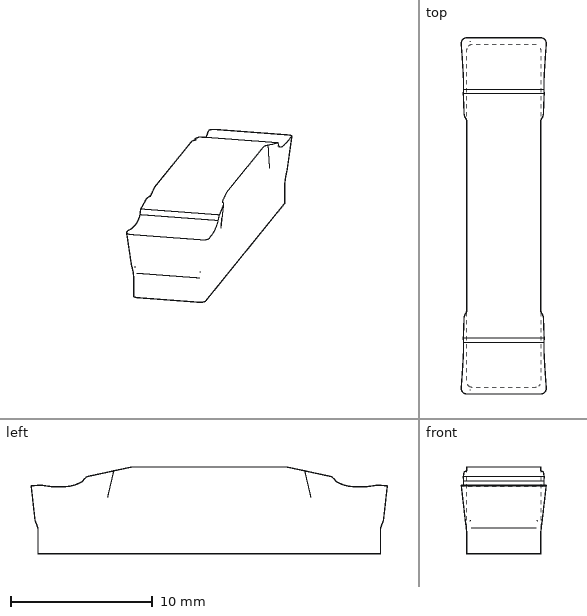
import cadquery as cq

LENGTH = 25.15
HEIGHT = 6.13
BODY_WIDTH = 5.23
HALF_LENGTH = LENGTH / 2
HALF_BODY = BODY_WIDTH / 2
OVERSIZE = 15.08

EDGE_Z = 4.8
RELIEF_INSET = 0.28
RELIEF_Z = 2.35
SHANK_INSET = 0.48
SHANK_Z = 1.8
BLEND_INSET = 0.4
BLEND_Z = 2.04
CORNER_RADIUS = 0.4

LAND_START = (0.6, 4.85)
LAND_END = (0.75, 4.85)
GROOVE_SHOULDER = (1.05, 4.8)
GROOVE_START = (1.43, 4.75)
GROOVE_END = (2.46, 4.75)
GROOVE_MIDDLE = (3.12, 4.88)
RISE_START = (3.65, 5.13)
RISE_END = (3.75, 5.28)
CREST = (3.95, 5.45)
TOP_INSET = 7.1

FLANK_LOW = (0.95, 1.5)
FLANK_HIGH = (5.4, 4.0)
FLARE_ALLOWANCE = 1.25
FLARE_SLOPE = 0.108

STEP_BODY_TOP = (5.83, 5.85)
STEP_RIDGE_TOP = (5.6, 5.8)
STEP_FLANK_TOP = (5.4, 5.75)
RIDGE_FLARE_SHARE = 0.7


def on_profile(point):
    """Turn (inset, height) into (Y, Z) at the -Y end."""
    inset, height = point
    return (inset - HALF_LENGTH, height)


def on_side(point, outward=0.0):
    """Place (inset, height) on the body side, shifted outward in X."""
    y, z = on_profile(point)
    return cq.Vector(HALF_BODY + outward, y, z)


def flare_at(point):
    """Outward distance of the flank plane from the body side."""
    inset, height = point
    line_slope = (FLANK_HIGH[1] - FLANK_LOW[1]) / (FLANK_HIGH[0] - FLANK_LOW[0])
    line_height = FLANK_LOW[1] + line_slope * (inset - FLANK_LOW[0])
    return FLARE_SLOPE * (height - line_height)


def profile_block(width):
    """Extrude the side outline of one end from the mid plane towards +X."""
    return (
        cq.Workplane("YZ")
        .moveTo(0, 0)
        .lineTo(*on_profile((SHANK_INSET, 0)))
        .lineTo(*on_profile((SHANK_INSET, SHANK_Z)))
        .threePointArc(on_profile((BLEND_INSET, BLEND_Z)), on_profile((RELIEF_INSET, RELIEF_Z)))
        .lineTo(*on_profile((0, EDGE_Z)))
        .lineTo(*on_profile(LAND_START))
        .lineTo(*on_profile(LAND_END))
        .lineTo(*on_profile(GROOVE_SHOULDER))
        .lineTo(*on_profile(GROOVE_START))
        .lineTo(*on_profile(GROOVE_END))
        .threePointArc(on_profile(GROOVE_MIDDLE), on_profile(RISE_START))
        .lineTo(*on_profile(RISE_END))
        .lineTo(*on_profile(CREST))
        .lineTo(*on_profile((TOP_INSET, HEIGHT)))
        .lineTo(0, HEIGHT)
        .close()
        .extrude(width)
    )


def outer_block(first, second, third):
    """Block on the +X side of the plane through three points."""
    along = second - first
    normal = along.cross(third - first)
    if normal.x < 0:
        normal = normal * -1
    plane = cq.Plane(origin=first, xDir=along, normal=normal)
    return cq.Workplane(plane).rect(2 * OVERSIZE, 2 * OVERSIZE).extrude(OVERSIZE)


def flared_end():
    """Widened head, bounded by the flank plane and the step facets."""
    low = on_side(FLANK_LOW)
    high = on_side(FLANK_HIGH)
    flank_top = on_side(STEP_FLANK_TOP, flare_at(STEP_FLANK_TOP))
    ridge_top = on_side(STEP_RIDGE_TOP, RIDGE_FLARE_SHARE * flare_at(STEP_RIDGE_TOP))
    body_top = on_side(STEP_BODY_TOP)
    return (
        profile_block(HALF_BODY + FLARE_ALLOWANCE)
        .cut(outer_block(low, high, flank_top))
        .cut(outer_block(high, flank_top, ridge_top))
        .cut(outer_block(high, ridge_top, body_top))
    )


def round_corner(quarter):
    """Round the upright corner between the end and the side."""
    corner = cq.selectors.BoxSelector(
        (HALF_BODY - CORNER_RADIUS, -HALF_LENGTH - CORNER_RADIUS, 0),
        (HALF_BODY + 2 * CORNER_RADIUS, on_profile(LAND_START)[0], EDGE_Z - CORNER_RADIUS),
    )
    return quarter.edges(corner).edges("not(#Z)").fillet(CORNER_RADIUS)


quarter = round_corner(profile_block(HALF_BODY).union(flared_end()))
half = quarter.union(quarter.mirror("YZ"))
result = half.union(half.mirror("XZ")).clean()